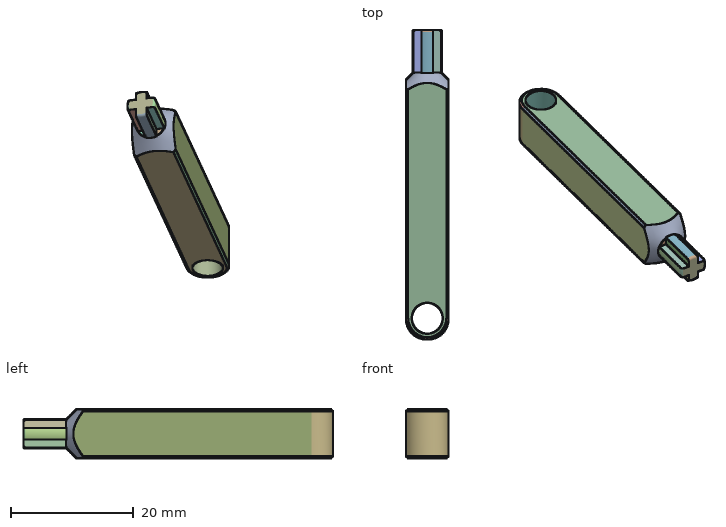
import cadquery as cq

overall_length = 50.5
handle_width = 7.0
handle_height = 8.0
edge_chamfer = 0.4
eye_diameter = 5.0

cone_tip_diameter = 4.7

tang_diameter = 4.8
tang_length = 7.0
arm_width = 1.8
tip_fillet = 0.4

end_radius = handle_width / 2
tang_radius = tang_diameter / 2
cone_tip_radius = cone_tip_diameter / 2
tip_y = overall_length - end_radius
shoulder_y = tip_y - tang_length
root_depth = tang_radius - cone_tip_radius
tang_root_y = shoulder_y - root_depth


def make_handle():
    """Bar with a round end and chamfered top and bottom edges."""
    bar = (
        cq.Workplane("XY")
        .moveTo(-end_radius, shoulder_y)
        .lineTo(-end_radius, 0)
        .threePointArc((0, -end_radius), (end_radius, 0))
        .lineTo(end_radius, shoulder_y)
        .close()
        .extrude(handle_height / 2, both=True)
    )
    return bar.faces("|Z").edges().chamfer(edge_chamfer)


def make_shoulder_envelope():
    """Round solid about the Y axis whose 45 degree cone bevels the handle's shoulder."""
    envelope_radius = handle_width / 2 + handle_height / 2
    cone_length = envelope_radius - cone_tip_radius
    return (
        cq.Workplane("XY")
        .moveTo(0, -end_radius)
        .lineTo(envelope_radius, -end_radius)
        .lineTo(envelope_radius, shoulder_y - cone_length)
        .lineTo(cone_tip_radius, shoulder_y)
        .lineTo(0, shoulder_y)
        .close()
        .revolve(360, (0, 0, 0), (0, 1, 0))
    )


def make_tang():
    """Cylinder with a rounded tip, trimmed to a cross of two perpendicular arms."""
    root_plane = cq.Workplane("XZ", origin=(0, tang_root_y, 0))
    length = tip_y - tang_root_y
    cylinder = root_plane.circle(tang_radius).extrude(-length).faces(">Y").edges().fillet(tip_fillet)
    flat_arm = root_plane.rect(tang_diameter, arm_width).extrude(-length)
    upright_arm = root_plane.rect(arm_width, tang_diameter).extrude(-length)
    return cylinder.intersect(flat_arm.union(upright_arm))


def make_eye():
    """Cutter for the hole through the round end."""
    return cq.Workplane("XY").circle(eye_diameter / 2).extrude(handle_height, both=True)


handle = make_handle().intersect(make_shoulder_envelope()).cut(make_eye())
result = handle.union(make_tang())